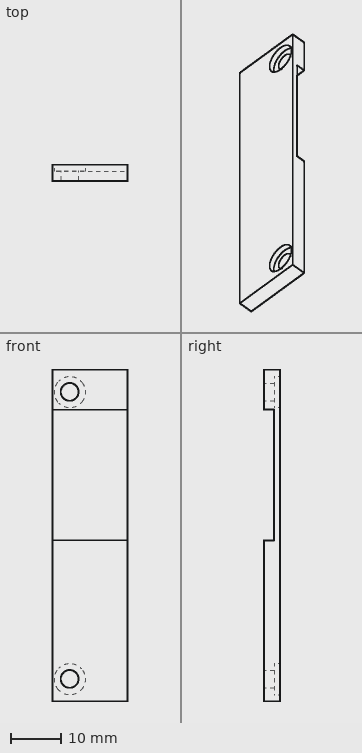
import cadquery as cq

width = 15.0
thickness = 3.25
height = 66.0

lower_block_height = 32.0
upper_block_height = 8.0
recess_depth = 2.0
recess_height = height - lower_block_height - upper_block_height

hole_diameter = 3.5
hole_from_left = 3.45
hole_from_end = 4.45
counterbore_diameter = 6.2
counterbore_depth = 1.2


def make_plate():
    return cq.Workplane("XY").box(width, thickness, height, centered=False)


def make_recess():
    return (
        cq.Workplane("XY")
        .box(width, recess_depth, recess_height, centered=False)
        .translate((0, 0, lower_block_height))
    )


def make_screw_hole(z):
    """Through hole and its counterbore, both running forward from the back face."""
    back_plane = cq.Workplane("XZ", origin=(hole_from_left, thickness, z))
    through_hole = back_plane.circle(hole_diameter / 2).extrude(thickness)
    counterbore = back_plane.circle(counterbore_diameter / 2).extrude(counterbore_depth)
    return through_hole.union(counterbore)


result = make_plate().cut(make_recess())
for hole_z in (hole_from_end, height - hole_from_end):
    result = result.cut(make_screw_hole(hole_z))